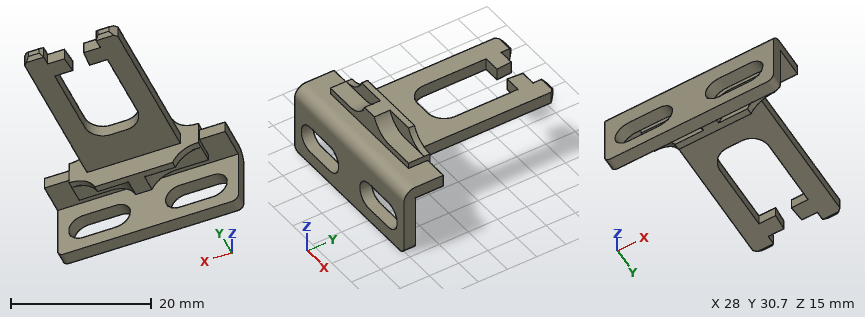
import cadquery as cq
import math

length = 30.72
thickness = 2.0
sheet_top = thickness / 2

base_width = 28.0
base_depth = 6.75
flange_height = 11.5
flange_corner_radius = 1.0
bend_radius = thickness

slot_length = 9.52
slot_height = 4.55
slot_spacing = 15.0
slot_center_height = 4.52

blade_width = 14.45
window_width = 8.15
window_start = 12.6
window_corner_radius = 2.83
hook_start = 26.17
hook_end = 28.75
hook_gap_start = 2.58
hook_gap_end = 2.98
tip_outer_chamfer = 0.98
tip_inner_chamfer = 0.5
tip_edge_chamfer = 0.52

collar_width = 20.0
collar_height = 9.0
collar_front = 3.47
collar_depth = 3.7
collar_back = collar_front + collar_depth
fin_front = 6.15
shoulder_height = 2.0
scoop_radius = 4.1
fin_top_half_width = 6.02
block_top_half_width = 1.25


def make_flanged_base():
    """L-shaped sheet with a rounded outer bend and rounded lower flange corners."""
    flange_bottom = sheet_top - flange_height
    horizontal = cq.Workplane("XY").box(base_width, base_depth, thickness, centered=(True, False, True))
    flange = (
        cq.Workplane("XY", origin=(0, 0, flange_bottom))
        .box(base_width, thickness, flange_height, centered=(True, False, False))
        .edges("|Y and <Z")
        .fillet(flange_corner_radius)
    )
    base = horizontal.union(flange).edges("|X and >Z and <Y").fillet(bend_radius)
    slots = (
        cq.Workplane("XZ", origin=(0, 0, flange_bottom + slot_center_height))
        .pushPoints([(-slot_spacing / 2, 0), (slot_spacing / 2, 0)])
        .slot2D(slot_length, slot_height)
        .extrude(-thickness)
    )
    return base.cut(slots)


def make_blade():
    """Flat blade with a round-cornered window, two hooks and chamfered fork tips."""
    outer = blade_width / 2
    inner = window_width / 2
    start = base_depth / 2
    corner_offset = window_corner_radius * (1 - math.sqrt(0.5))
    half = (
        cq.Workplane("XY", origin=(0, 0, -sheet_top))
        .moveTo(0, start)
        .lineTo(outer, start)
        .lineTo(outer, length - tip_outer_chamfer)
        .lineTo(outer - tip_outer_chamfer, length)
        .lineTo(inner + tip_inner_chamfer, length)
        .lineTo(inner, length - tip_inner_chamfer)
        .lineTo(inner, hook_end)
        .lineTo(hook_gap_end / 2, hook_end)
        .lineTo(hook_gap_start / 2, hook_start)
        .lineTo(inner, hook_start)
        .lineTo(inner, window_start + window_corner_radius)
        .threePointArc(
            (inner - corner_offset, window_start + corner_offset),
            (inner - window_corner_radius, window_start),
        )
        .lineTo(0, window_start)
        .close()
        .extrude(thickness)
    )
    blade = half.union(half.mirror("YZ"))
    return blade.faces(">Y").edges("|X").chamfer(tip_edge_chamfer)


def make_scooped_block(top_half_width, front, back):
    """Block across the collar width, scooped by an arc down to a flat shoulder at all four corners."""
    side = collar_width / 2
    top = collar_height / 2
    arc_center_height = shoulder_height + scoop_radius
    start_angle = math.asin((arc_center_height - top) / scoop_radius)
    middle_angle = (start_angle + math.pi / 2) / 2
    shoulder_start = top_half_width + scoop_radius * math.cos(start_angle)
    arc_middle = (
        shoulder_start - scoop_radius * math.cos(middle_angle),
        arc_center_height - scoop_radius * math.sin(middle_angle),
    )
    quarter = (
        cq.Workplane("XZ", origin=(0, front, 0))
        .lineTo(0, top)
        .lineTo(top_half_width, top)
        .threePointArc(arc_middle, (shoulder_start, shoulder_height))
        .lineTo(side, shoulder_height)
        .lineTo(side, 0)
        .close()
        .extrude(front - back)
    )
    half = quarter.union(quarter.mirror("YZ"))
    return half.union(half.mirror("XY"))


front_block = make_scooped_block(block_top_half_width, collar_front, fin_front)
rear_fin = make_scooped_block(fin_top_half_width, fin_front, collar_back)

result = make_flanged_base().union(make_blade()).union(front_block).union(rear_fin)